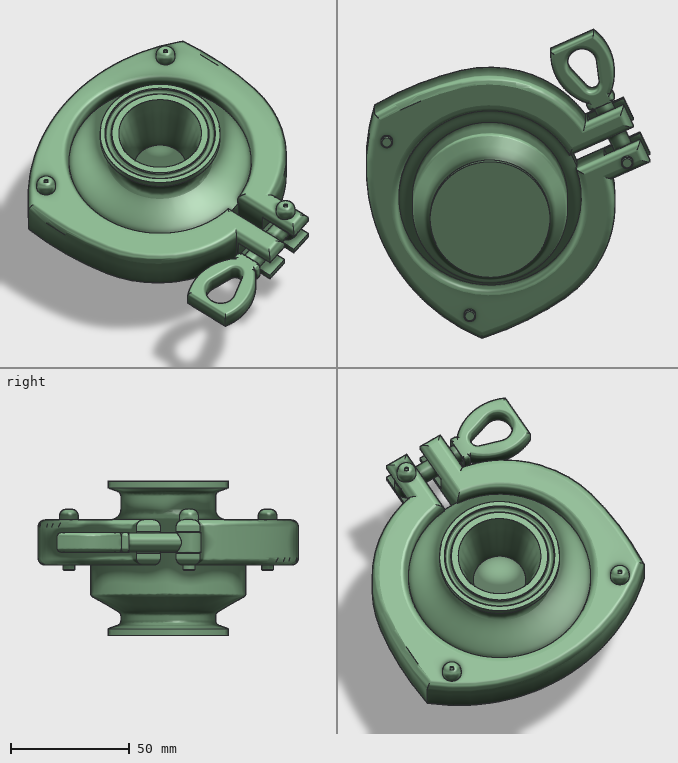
import cadquery as cq
import math

total_height = 65.0
ferrule_radius = 25.27
ferrule_rim = 2.8
ferrule_slope_start = 24.6
ferrule_bevel = 0.4
ferrule_angle = math.radians(20)
ferrule_fillet = 1.9
neck_radius = 20.0
barrel_radius = 32.7
barrel_bottom = 16.7
barrel_cone_angle = math.radians(30)
barrel_fillet = 1.8
barrel_neck_fillet = 1.9
dome_angle = math.radians(19.3)
dome_neck_height = 50.0
dome_fillet = 4.0
flange_radius = 38.9

bore_radius = 34.8 / 2
bore_floor_radius = 22.0 / 2
bore_depth = 24.2
groove_inner_radius = 20.2
groove_outer_radius = 23.3
groove_lip = 0.4
groove_depth = 1.5

clamp_bottom = 29.6
clamp_top = 48.7
clamp_middle = (clamp_bottom + clamp_top) / 2
clamp_edge_fillet = 3.2
opening_radius = 38.4
clamp_left = -49.2
corner_x = -28.6
corner_y = 54.0
seam_x = 10.8
seam_y = 52.6
shoulder_x = 32.1
shoulder_y = 42.9
shoulder_end_x = 50.3

arm_end = 68.0
arm_outer_y = 13.5
arm_inner_y = 3.3
slot_start = 51.4
slot_height = 9.2

pin_head_radius = 8.0 / 2
pin_head_height = 4.5
pin_head_overlap = 1.2
pin_dome_fillet = 2.9
pin_socket_radius = 0.8
pin_socket_depth = 1.2
pin_radius = 5.0 / 2
pin_projection = 2.3
pin_chamfer = 0.5
rivet_x = corner_x
rivet_y = 41.8

bolt_x = 59.5
bolt_pivot_y = 8.7
bolt_radius = 8.0 / 2
eye_radius = 5.1
knob_height = 8.2
knob_edge_fillet = 1.8
knob_top = -16.5
collar_bottom = -19.8
collar_half_width = 6.0
collar_corner_fillet = 1.0
knob_neck_half_width = 5.5
knob_wide_y = -36.4
knob_half_width = 12.5
knob_end = -46.8
knob_end_half_width = 9.9
eyelet_small_y = -26.7
eyelet_small_radius = 3.0
eyelet_large_y = -36.7
eyelet_large_radius = 6.0

pick_margin = 0.1


def fillet_circle(solid, radius, height, fillet):
    """Round the circular edge at the given height that lies within the given radius."""
    reach = radius + pick_margin
    edge = cq.selectors.BoxSelector(
        (-reach, -reach, height - pick_margin),
        (reach, reach, height + pick_margin),
        boundingbox=True,
    )
    return solid.edges("%CIRCLE").edges(edge).fillet(fillet)


def make_body():
    """Turned body: two ferrules, barrel, clamped flange and dome."""
    ferrule_drop = (ferrule_slope_start - neck_radius) * math.tan(ferrule_angle)
    slope_start = ferrule_rim + ferrule_bevel
    slope_end = slope_start + ferrule_drop
    cone_drop = (barrel_radius - neck_radius) * math.tan(barrel_cone_angle)
    dome_drop = (flange_radius - neck_radius) * math.tan(dome_angle)
    flange_top = dome_neck_height - dome_drop
    flange_bottom = 2 * clamp_middle - flange_top
    outline = [
        (0, 0),
        (ferrule_radius, 0),
        (ferrule_radius, ferrule_rim),
        (ferrule_slope_start, slope_start),
        (neck_radius, slope_end),
        (neck_radius, barrel_bottom - cone_drop),
        (barrel_radius, barrel_bottom),
        (barrel_radius, flange_bottom),
        (flange_radius, flange_bottom),
        (flange_radius, flange_top),
        (neck_radius, dome_neck_height),
        (neck_radius, total_height - slope_end),
        (ferrule_slope_start, total_height - slope_start),
        (ferrule_radius, total_height - ferrule_rim),
        (ferrule_radius, total_height),
        (0, total_height),
    ]
    body = cq.Workplane("XZ").polyline(outline).close().revolve(360, (0, 0), (0, 1))
    body = fillet_circle(body, neck_radius, slope_end, ferrule_fillet)
    body = fillet_circle(body, neck_radius, total_height - slope_end, ferrule_fillet)
    body = fillet_circle(body, neck_radius, dome_neck_height, dome_fillet)
    body = fillet_circle(body, neck_radius, barrel_bottom - cone_drop, barrel_neck_fillet)
    return fillet_circle(body, barrel_radius, barrel_bottom, barrel_fillet)


def make_bore():
    """Tapered blind bore entering from the top face."""
    outline = [
        (0, total_height),
        (bore_radius, total_height),
        (bore_floor_radius, total_height - bore_depth),
        (0, total_height - bore_depth),
    ]
    return cq.Workplane("XZ").polyline(outline).close().revolve(360, (0, 0), (0, 1))


def make_groove():
    """Round-bottomed gasket groove with bevelled lips."""
    middle = (groove_inner_radius + groove_outer_radius) / 2
    lip_height = total_height - groove_lip
    outline = (
        cq.Workplane("XZ")
        .moveTo(groove_inner_radius, total_height)
        .lineTo(groove_inner_radius + groove_lip, lip_height)
        .threePointArc(
            (middle, total_height - groove_depth),
            (groove_outer_radius - groove_lip, lip_height),
        )
        .lineTo(groove_outer_radius, total_height)
        .close()
    )
    return outline.revolve(360, (0, 0), (0, 1))


def make_clamp():
    """Clamp ring with two split arms, all top and bottom edges rounded."""
    back_depth = corner_x - clamp_left
    back_radius = (back_depth ** 2 + corner_y ** 2) / (2 * back_depth)
    half_plate = (
        cq.Workplane("XY", origin=(0, 0, clamp_middle))
        .moveTo(arm_end, 0)
        .lineTo(arm_end, arm_outer_y)
        .lineTo(shoulder_end_x, arm_outer_y)
        .threePointArc((shoulder_x, shoulder_y), (seam_x, seam_y))
        .tangentArcPoint((corner_x, corner_y), relative=False)
        .radiusArc((clamp_left, 0), -back_radius)
        .close()
        .extrude(clamp_top - clamp_middle)
    )
    plate = half_plate.union(half_plate.mirror("XZ"))
    opening = cq.Workplane("XY").circle(opening_radius).extrude(total_height)
    split = cq.Workplane("XY").box(
        arm_end, 2 * arm_inner_y, total_height, centered=(False, True, False)
    )
    upper_ring = plate.cut(opening).cut(split)
    upper_ring = upper_ring.faces(">Z").edges().fillet(clamp_edge_fillet)
    ring = upper_ring.union(upper_ring.mirror("XY", (0, 0, clamp_middle)))
    slot = cq.Workplane("XY", origin=(slot_start, 0, clamp_middle)).box(
        arm_end - slot_start, 2 * arm_outer_y, slot_height, centered=(False, True, True)
    )
    return ring.cut(slot)


def make_pin(x, y):
    """Domed pin through the clamp, with a small socket in its head."""
    head_top = clamp_top + pin_head_height
    shank_bottom = clamp_bottom - pin_projection
    head = (
        cq.Workplane("XY", origin=(x, y, clamp_top - pin_head_overlap))
        .circle(pin_head_radius)
        .extrude(pin_head_height + pin_head_overlap)
        .faces(">Z").edges().fillet(pin_dome_fillet)
    )
    socket = (
        cq.Workplane("XY", origin=(x, y, head_top - pin_socket_depth))
        .circle(pin_socket_radius)
        .extrude(pin_socket_depth)
    )
    shank = (
        cq.Workplane("XY", origin=(x, y, shank_bottom))
        .circle(pin_radius)
        .extrude(clamp_top - shank_bottom)
        .faces("<Z").edges().chamfer(pin_chamfer)
    )
    return head.cut(socket).union(shank)


def make_swing_bolt():
    """Eye around the pivot pin and a round shank running to the knob."""
    eye = (
        cq.Workplane("XY", origin=(bolt_x, bolt_pivot_y, clamp_middle - knob_height / 2))
        .circle(eye_radius)
        .extrude(knob_height)
    )
    shank = (
        cq.Workplane("XZ", origin=(bolt_x, bolt_pivot_y, clamp_middle))
        .circle(bolt_radius)
        .extrude(bolt_pivot_y - collar_bottom)
    )
    return eye.union(shank)


def make_knob():
    """Flat wing knob with a collar and a teardrop eyelet."""
    base = cq.Workplane("XY", origin=(bolt_x, 0, clamp_middle - knob_height / 2))
    wing = (
        base.moveTo(-knob_neck_half_width, knob_top)
        .lineTo(knob_neck_half_width, knob_top)
        .lineTo(knob_neck_half_width, collar_bottom)
        .threePointArc((knob_half_width, knob_wide_y), (knob_end_half_width, knob_end))
        .lineTo(-knob_end_half_width, knob_end)
        .threePointArc((-knob_half_width, knob_wide_y), (-knob_neck_half_width, collar_bottom))
        .close()
        .extrude(knob_height)
    )
    lean = (eyelet_large_radius - eyelet_small_radius) / (eyelet_small_y - eyelet_large_y)
    reach = math.sqrt(1 - lean ** 2)
    small_x = eyelet_small_radius * reach
    small_y = eyelet_small_y + eyelet_small_radius * lean
    large_x = eyelet_large_radius * reach
    large_y = eyelet_large_y + eyelet_large_radius * lean
    eyelet = (
        base.moveTo(-small_x, small_y)
        .threePointArc((0, eyelet_small_y + eyelet_small_radius), (small_x, small_y))
        .lineTo(large_x, large_y)
        .threePointArc((0, eyelet_large_y - eyelet_large_radius), (-large_x, large_y))
        .close()
        .extrude(knob_height)
    )
    knob = wing.cut(eyelet)
    for rim in (">Z", "<Z"):
        knob = knob.faces(rim).edges("not >Y").fillet(knob_edge_fillet)
    collar = (
        cq.Workplane("XY", origin=(bolt_x, (knob_top + collar_bottom) / 2, clamp_middle))
        .box(2 * collar_half_width, knob_top - collar_bottom, knob_height)
        .edges("|Y").fillet(knob_edge_fillet)
        .edges("|Z").fillet(collar_corner_fillet)
    )
    return knob.union(collar)


result = make_body().cut(make_bore()).cut(make_groove()).union(make_clamp())
for pin_x, pin_y in [(rivet_x, rivet_y), (rivet_x, -rivet_y), (bolt_x, bolt_pivot_y)]:
    result = result.union(make_pin(pin_x, pin_y))
result = result.union(make_swing_bolt()).union(make_knob())